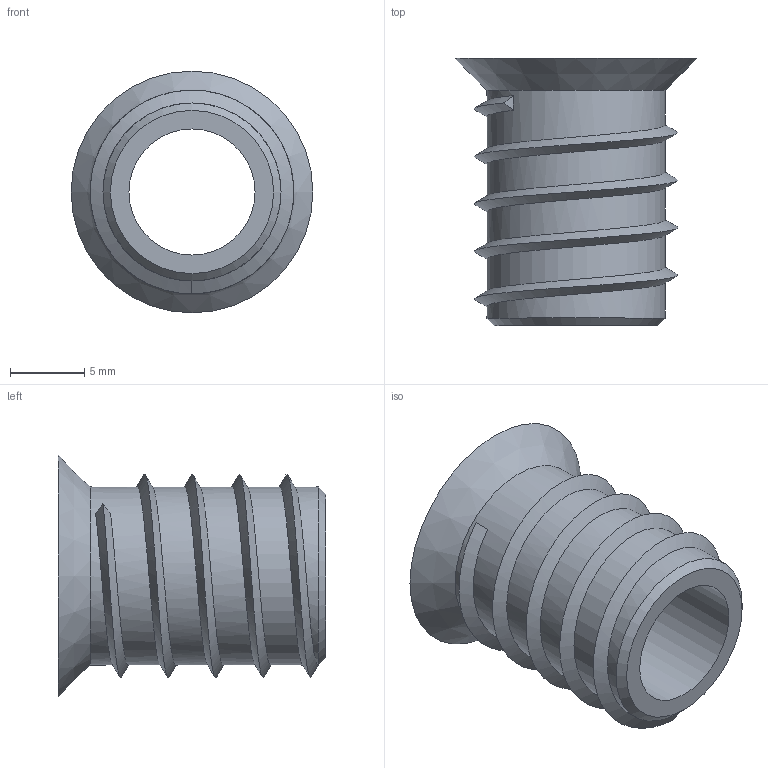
import cadquery as cq
import math


length = 18.0
body_radius = 6.0
bore_radius = 4.25
tip_chamfer = 0.5

head_radius = 8.15
head_height = head_radius - body_radius

pitch = 3.2
ridge_width = 1.0
ridge_height = ridge_width * math.sqrt(3) / 2
ridge_embed = 0.2
thread_start_depth = 3.0
thread_start_angle = 135.0
thread_length = 14.0


def make_sleeve():
    """Revolve the wall section: bore, countersunk head and chamfered tip."""
    section = (
        cq.Workplane("XZ")
        .moveTo(bore_radius, 0)
        .lineTo(head_radius, 0)
        .lineTo(body_radius, head_height)
        .lineTo(body_radius, length - tip_chamfer)
        .lineTo(body_radius - tip_chamfer, length)
        .lineTo(bore_radius, length)
        .close()
    )
    return section.revolve(360, (0, 0, 0), (0, 1, 0))


def make_thread():
    """Sweep the ridge section along a right-handed helix."""
    helix = cq.Wire.makeHelix(pitch, thread_length, body_radius)
    root_radius = body_radius - ridge_embed
    root_half_width = (ridge_height + ridge_embed) / math.sqrt(3)
    ridge = (
        cq.Workplane("XZ")
        .moveTo(root_radius, -root_half_width)
        .lineTo(body_radius + ridge_height, 0)
        .lineTo(root_radius, root_half_width)
        .close()
        .sweep(cq.Workplane(obj=helix), isFrenet=True)
    )
    return ridge.rotate((0, 0, 0), (0, 0, 1), thread_start_angle).translate((0, 0, thread_start_depth))


insert = make_sleeve().union(make_thread())
result = insert.rotate((0, 0, 0), (1, 0, 0), 90)